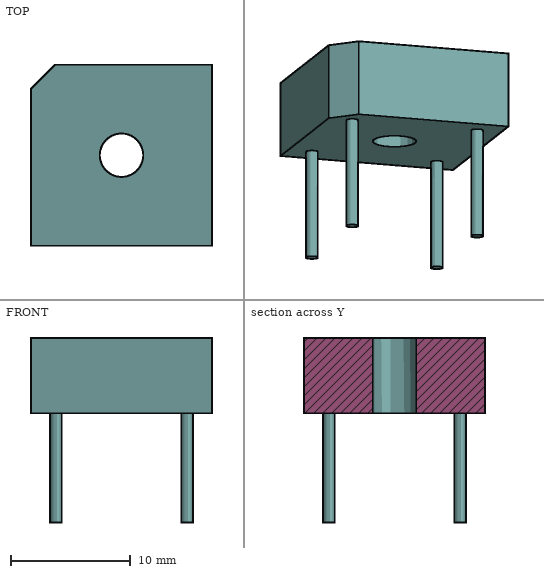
import cadquery as cq

total_height = 15.4
body_side = 15.1
body_height = 6.3
corner_cut = 2.0
hole_diameter = 3.6

pin_diameter = 1.0
pin_spacing = 10.93
pin_length = total_height - body_height


def make_body():
    """Block standing on Z = 0, with its -X, +Y corner cut off."""
    block = cq.Workplane("XY").box(body_side, body_side, body_height, centered=(True, True, False))
    block = block.edges("|Z").edges("<X").edges(">Y").chamfer(corner_cut)
    return block.faces(">Z").workplane(origin=(0, 0, body_height)).hole(hole_diameter)


def make_pins():
    """Four pins hanging down from the underside of the body."""
    return (
        cq.Workplane("XY")
        .rarray(pin_spacing, pin_spacing, 2, 2)
        .circle(pin_diameter / 2)
        .extrude(-pin_length)
    )


result = make_body().union(make_pins())